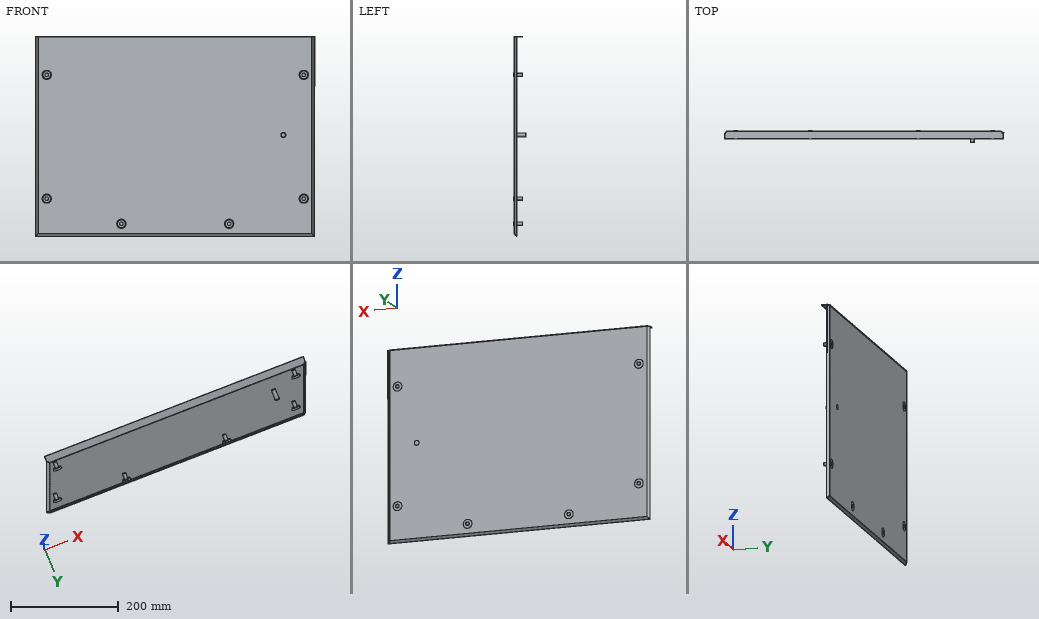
import cadquery as cq
import math

sheet = 1.0
overall_width = 519.0
overall_depth = 22.5
half_width = 259.0
top_z = 185.5
bottom_z = -185.5
back_y = 10.5
flange_reach = 4.5
shelf_front_y = -4.5

end_step = sheet / math.sqrt(2)
bend_shift = sheet * math.tan(math.pi / 8)
tip_y = back_y - flange_reach
front_y = tip_y - end_step
half_back = half_width - flange_reach
half_inner = half_width - end_step
cavity_y = back_y - sheet
half_cavity_back = half_back - bend_shift

lip_reach = overall_width - 2 * half_width
lip_bottom_z = 93.5

shank_diameter = 7.0
shank_proud = 0.8
shank_back_y = back_y + shank_proud
shank_front_y = -5.0
collar_diameter = 17.0
collar_length = 3.0
collar_front_diameter = 14.5
fastener_centre_x = 0.5
side_offset_x = 238.5
side_zs = (114.0, -115.5)
bottom_offset_x = 100.0
bottom_row_z = -162.5
fastener_places = [(fastener_centre_x + sign * side_offset_x, z) for sign in (-1, 1) for z in side_zs]
fastener_places += [(fastener_centre_x + sign * bottom_offset_x, bottom_row_z) for sign in (-1, 1)]

stud_diameter = 8.0
stud_front_y = shank_back_y - overall_depth
stud_base_diameter = 9.5
stud_base_length = 1.5
stud_x = 201.5
stud_z = 2.5


def upright_prism(points, low_z, high_z):
    """Extrude an XY outline between two heights."""
    return cq.Workplane("XY", origin=(0, 0, low_z)).polyline(points).close().extrude(high_z - low_z)


def crosswise_prism(points):
    """Extrude a YZ outline over more than the full width of the panel."""
    return cq.Workplane("YZ").polyline(points).close().extrude(half_width + 5, both=True)


def cylinder(diameter, x, z, start_y, end_y):
    """Cylinder along Y, built forwards (towards -Y) from start_y to end_y."""
    plane = cq.Workplane("XZ", origin=(x, start_y, z))
    return plane.circle(diameter / 2).extrude(start_y - end_y)


def mirrored(right_side):
    """Close a right-hand chain of XY points with its mirror image."""
    return right_side + [(-x, y) for x, y in reversed(right_side)]


def tray():
    """Back sheet with mitred 45 degree flanges at the left, right and bottom."""
    outer_sides = mirrored([(half_back, back_y), (half_width, tip_y), (half_inner, front_y)])
    bottom_back = bottom_z + flange_reach
    outer_ends = [
        (back_y, top_z), (back_y, bottom_back), (tip_y, bottom_z),
        (front_y, bottom_z + end_step), (front_y, top_z),
    ]
    cavity_sides = mirrored([(half_cavity_back, cavity_y), (half_inner, front_y)])
    cavity_ends = [
        (cavity_y, top_z), (cavity_y, bottom_back + bend_shift),
        (front_y, bottom_z + end_step), (front_y, top_z),
    ]
    outer = upright_prism(outer_sides, bottom_z, top_z).intersect(crosswise_prism(outer_ends))
    cavity = upright_prism(cavity_sides, bottom_z, top_z).intersect(crosswise_prism(cavity_ends))
    return outer.cut(cavity)


def shelf():
    """Flat shelf bent forwards along the top edge."""
    outline = mirrored([(half_back, back_y), (half_width, tip_y), (half_width, shelf_front_y)])
    return upright_prism(outline, top_z - sheet, top_z)


def lip():
    """Strip carrying the end of the right-hand flange outwards and back."""
    outline = [
        (half_inner, front_y), (half_width + lip_reach, tip_y + lip_reach),
        (half_width + lip_reach - end_step, tip_y + lip_reach + end_step),
        (half_inner - end_step, front_y + end_step),
    ]
    return upright_prism(outline, lip_bottom_z, top_z)


def make_panel():
    stud = cylinder(stud_diameter, stud_x, stud_z, cavity_y, stud_front_y)
    base = cylinder(stud_base_diameter, stud_x, stud_z, cavity_y, cavity_y - stud_base_length)
    panel = tray().union(shelf()).union(lip()).union(base).union(stud)
    for x, z in fastener_places:
        panel = panel.cut(cylinder(shank_diameter, x, z, back_y, cavity_y))
    return panel


def make_fastener(x, z):
    """Shank through the panel, with a tapered collar resting on its front face."""
    base = cq.Workplane("XZ", origin=(x, cavity_y, z)).circle(collar_diameter / 2)
    collar = base.workplane(offset=collar_length).circle(collar_front_diameter / 2).loft(ruled=True)
    return collar.union(cylinder(shank_diameter, x, z, shank_back_y, shank_front_y))


panel = make_panel()
fasteners = [make_fastener(x, z) for x, z in fastener_places]

result = cq.Compound.makeCompound([panel.val(), *[fastener.val() for fastener in fasteners]])